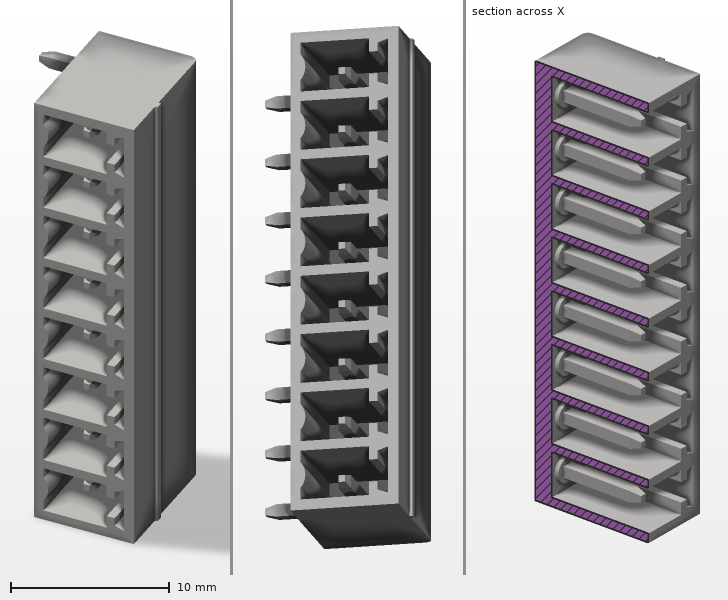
import cadquery as cq

body_width = 7.0
body_depth = 9.2
body_height = 31.27
corner_fillet = 0.5

position_count = 8
pitch = 3.8
first_position_z = (body_height - (position_count - 1) * pitch) / 2

rib_projection = 0.2
rib_width = 0.5
rib_center_y = 3.25

cavity_depth = 7.82
cavity_left = 0.65
cavity_right = 5.1
cavity_half_height = 1.6
neck_right = 5.65
neck_half_height = 0.72
keyway_right = 6.32
keyway_inner_half_height = 1.28
keyway_outer_half_height = 1.5
bulge_half_height = 0.85
bulge_rise = 0.3

pin_side = 0.8
pin_tip_side = 0.45
pin_taper_length = 0.78
solder_pin_length = 3.5
solder_pin_inset = 1.2
solder_pin_y = body_depth - solder_pin_inset
contact_x = 3.0
contact_length = 6.45
collar_radius = 0.9
collar_height = 0.3


def housing():
    block = cq.Workplane("XY").box(body_width, body_depth, body_height, centered=False)
    block = block.edges(">X and >Y").fillet(corner_fillet)
    rib = (
        cq.Workplane("XY")
        .box(rib_projection, rib_width, body_height, centered=False)
        .translate((body_width, rib_center_y - rib_width / 2, 0))
    )
    return block.union(rib)


def cavity(z):
    """Cavity with a bulged left wall and a dovetail keyway on the right."""
    return (
        cq.Workplane("XZ", origin=(0, 0, z))
        .moveTo(cavity_left, cavity_half_height)
        .lineTo(cavity_right, cavity_half_height)
        .lineTo(cavity_right, neck_half_height)
        .lineTo(neck_right, neck_half_height)
        .lineTo(neck_right, keyway_inner_half_height)
        .lineTo(keyway_right, keyway_outer_half_height)
        .lineTo(keyway_right, -keyway_outer_half_height)
        .lineTo(neck_right, -keyway_inner_half_height)
        .lineTo(neck_right, -neck_half_height)
        .lineTo(cavity_right, -neck_half_height)
        .lineTo(cavity_right, -cavity_half_height)
        .lineTo(cavity_left, -cavity_half_height)
        .lineTo(cavity_left, -bulge_half_height)
        .threePointArc((cavity_left + bulge_rise, 0), (cavity_left, bulge_half_height))
        .close()
        .extrude(-cavity_depth)
    )


def tapered_pin(base_plane, length):
    """Square pin growing along the plane normal and tapering at its free end."""
    shank_length = length - pin_taper_length
    shank = base_plane.rect(pin_side, pin_side).extrude(shank_length)
    tip = (
        base_plane.workplane(offset=shank_length)
        .rect(pin_side, pin_side)
        .workplane(offset=pin_taper_length)
        .rect(pin_tip_side, pin_tip_side)
        .loft(combine=False)
    )
    return shank.union(tip)


def solder_pin(z):
    plane = cq.Plane(origin=(0, solder_pin_y, z), xDir=(0, 1, 0), normal=(-1, 0, 0))
    return tapered_pin(cq.Workplane(plane), solder_pin_length)


def contact(z):
    """Contact pin and its round collar on the cavity floor."""
    floor = cq.Workplane("XZ", origin=(contact_x, cavity_depth, z))
    collar = floor.circle(collar_radius).extrude(collar_height)
    return collar.union(tapered_pin(floor, contact_length))


result = housing()
for index in range(position_count):
    position_z = first_position_z + index * pitch
    result = result.cut(cavity(position_z))
    result = result.union(contact(position_z)).union(solder_pin(position_z))